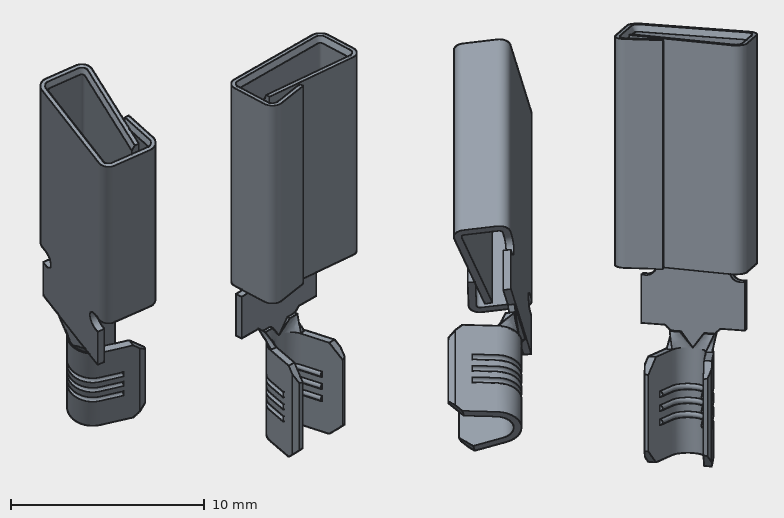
import cadquery as cq
import math

total_length = 22.6
sheet = 0.4

box_width = 6.96
box_bottom = 10.4
box_bend = 0.59
long_flap_height = 3.03
long_flap_end = 2.83
long_flap_tilt = 5.3
short_flap_height = 3.41
short_flap_end = 0.85
short_flap_tilt = 9.4
lead_in_depth = 0.17
lead_in_length = 0.35

tab_width = 5.56
tab_bottom = 6.74
notch_radius = 0.55
notch_center_x = 2.53

barrel_top = 5.63
barrel_radius = 1.33
wing_height = 3.55
wing_tilt = math.radians(13.4)
wing_corner = 0.8
bevel_depth = 0.18
bevel_length = 0.36

groove_count = 3
groove_middle = 2.8
groove_pitch = 0.75
groove_radius = 0.17
ridge_radius = 0.15
groove_height = 2.25

neck_inset = 0.07
neck_width = 2.98
neck_shoulder_width = 2.4
neck_shoulder_z = 6.47
neck_shoulder_back = 0.59
neck_tip_width = 0.27
neck_root_width = 0.57

half_box = box_width / 2
long_flap_drop = (half_box + long_flap_end) * math.tan(math.radians(long_flap_tilt))
short_flap_drop = (half_box - short_flap_end) * math.tan(math.radians(short_flap_tilt))

box_path = [
    (long_flap_end, long_flap_height - long_flap_drop),
    (-half_box, long_flap_height),
    (-half_box, 0),
    (half_box, 0),
    (half_box, short_flap_height),
    (short_flap_end, short_flap_height - short_flap_drop),
]


def unit(start, end):
    length = math.dist(start, end)
    return cq.Vector((end[0] - start[0]) / length, (end[1] - start[1]) / length)


def left_of(direction):
    return cq.Vector(-direction.y, direction.x)


def bend_arc(before, corner, after, depth):
    """Start, middle and end of one bend, measured at a depth into the sheet."""
    way_in = unit(before, corner)
    way_out = unit(corner, after)
    half_turn = way_in.getAngle(way_out) / 2
    bisector = (way_out - way_in).normalized()
    center = cq.Vector(*corner) + bisector * (box_bend / math.cos(half_turn))
    radius = box_bend - depth
    return (
        center - left_of(way_in) * radius,
        center - bisector * radius,
        center - left_of(way_out) * radius,
    )


def folded_sheet(plane, thickness):
    """Closed outline of the folded box sheet."""
    first = cq.Vector(*box_path[0])
    last = cq.Vector(*box_path[-1])
    first_inward = left_of(unit(box_path[0], box_path[1]))
    last_inward = left_of(unit(box_path[-2], box_path[-1]))
    corners = list(zip(box_path, box_path[1:], box_path[2:]))

    outline = plane.moveTo(first.x, first.y)
    for corner in corners:
        start, middle, end = bend_arc(*corner, 0)
        outline = outline.lineTo(start.x, start.y)
        outline = outline.threePointArc(middle.toTuple()[:2], end.toTuple()[:2])
    outline = outline.lineTo(last.x, last.y)
    last_inner = last + last_inward * thickness
    outline = outline.lineTo(last_inner.x, last_inner.y)
    for corner in reversed(corners):
        start, middle, end = bend_arc(*corner, thickness)
        outline = outline.lineTo(end.x, end.y)
        outline = outline.threePointArc(middle.toTuple()[:2], start.toTuple()[:2])
    first_inner = first + first_inward * thickness
    return outline.lineTo(first_inner.x, first_inner.y).close()


def make_box():
    lead_in_start = total_length - lead_in_length
    body_plane = cq.Workplane("XY", origin=(0, 0, box_bottom))
    body = folded_sheet(body_plane, sheet).extrude(lead_in_start - box_bottom)
    mouth = folded_sheet(cq.Workplane("XY", origin=(0, 0, lead_in_start)), sheet)
    mouth = folded_sheet(mouth.workplane(offset=lead_in_length), sheet - lead_in_depth)
    return body.union(mouth.loft(ruled=True))


def front_plane(depth):
    """XZ workplane at a given Y; extrude by a negative length to go toward +Y."""
    return cq.Workplane("XZ", origin=(0, depth, 0))


def make_tab():
    tab = front_plane(0).moveTo(0, (tab_bottom + box_bottom) / 2)
    tab = tab.rect(tab_width, box_bottom - tab_bottom).extrude(-sheet)
    notch_z = box_bottom - notch_radius
    for side in (-1, 1):
        rounded_end = front_plane(0).moveTo(side * notch_center_x, notch_z).circle(notch_radius)
        open_side = front_plane(0).moveTo(side * (notch_center_x + tab_width / 2), notch_z)
        open_side = open_side.rect(tab_width, 2 * notch_radius)
        tab = tab.cut(rounded_end.extrude(-sheet)).cut(open_side.extrude(-sheet))
    return tab


def wing_point(side, along, depth):
    """Point on a wing: distance up from the rounded bottom, depth in from the outer face."""
    radius = barrel_radius - depth
    x = radius * math.cos(wing_tilt) + along * math.sin(wing_tilt)
    y = barrel_radius - radius * math.sin(wing_tilt) + along * math.cos(wing_tilt)
    return (side * x, y)


def along_at_height(height, depth):
    """Distance up a wing at which its face, at a given depth, reaches a given Y."""
    return (height - wing_point(1, 0, depth)[1]) / math.cos(wing_tilt)


def bottom_arc_middle(depth):
    """Point halfway along the right half of the rounded bottom."""
    half_sweep = (math.pi / 2 - wing_tilt) / 2
    radius = barrel_radius - depth
    return (radius * math.sin(half_sweep), barrel_radius - radius * math.cos(half_sweep))


def half_bottom(plane, depth, thickness):
    """Right half of the rounded bottom as a curved strip."""
    inner = depth + thickness
    return (
        plane.moveTo(0, depth)
        .threePointArc(bottom_arc_middle(depth), wing_point(1, 0, depth))
        .lineTo(*wing_point(1, 0, inner))
        .threePointArc(bottom_arc_middle(inner), (0, inner))
        .close()
    )


def make_barrel():
    wing_length = along_at_height(wing_height, sheet)
    bottom = half_bottom(cq.Workplane("XY"), 0, sheet).extrude(barrel_top)
    wing = cq.Workplane("XY").polyline([
        wing_point(1, 0, 0),
        wing_point(1, wing_length - bevel_length, 0),
        wing_point(1, wing_length, bevel_depth),
        wing_point(1, wing_length, sheet),
        wing_point(1, 0, sheet),
    ]).close().extrude(barrel_top)
    half = bottom.union(wing)
    barrel = half.union(half.mirror("YZ"))

    for z, inward in ((0, 1), (barrel_top, -1)):
        corner = cq.Workplane("YZ").polyline([
            (wing_height, z),
            (wing_height - wing_corner, z),
            (wing_height, z + inward * wing_corner),
        ]).close().extrude(box_width, both=True)
        barrel = barrel.cut(corner)
    return barrel


def grip_rod(z, depth, radius):
    """Round bar following the barrel from wing to wing at a depth into the sheet."""
    along = along_at_height(groove_height, 0)
    start = wing_point(-1, along, depth)
    left_bottom = wing_point(-1, 0, depth)
    path = (
        cq.Workplane("XY", origin=(0, 0, z))
        .moveTo(*start)
        .lineTo(*left_bottom)
        .threePointArc((0, depth), wing_point(1, 0, depth))
        .lineTo(*wing_point(1, along, depth))
    )
    end_plane = cq.Plane((*start, z), xDir=(0, 0, 1), normal=unit(start, left_bottom))
    return cq.Workplane(end_plane).circle(radius).sweep(path)


def add_grips(barrel):
    for index in range(groove_count):
        z = groove_middle + (index - (groove_count - 1) / 2) * groove_pitch
        barrel = barrel.cut(grip_rod(z, 0, groove_radius))
        barrel = barrel.union(grip_rod(z, sheet, ridge_radius))
    return barrel


def make_neck():
    thickness = sheet - neck_inset
    shoulder_x = neck_shoulder_width / 2
    half_plate = front_plane(neck_inset).polyline([
        (0, barrel_top),
        (neck_tip_width / 2, barrel_top),
        (shoulder_x, neck_shoulder_z),
        (neck_width / 2, tab_bottom),
        (0, tab_bottom),
    ]).close().extrude(-thickness)

    side = half_bottom(cq.Workplane("XY", origin=(0, 0, barrel_top)), neck_inset, thickness)
    side = side.workplane(offset=neck_shoulder_z - barrel_top).polyline([
        (shoulder_x - neck_root_width, neck_inset),
        (shoulder_x, neck_inset),
        (shoulder_x, neck_shoulder_back),
        (shoulder_x - neck_root_width, neck_shoulder_back),
    ]).close().loft(ruled=True)
    half = half_plate.union(side)
    return half.union(half.mirror("YZ"))


result = make_box().union(make_tab()).union(make_neck()).union(add_grips(make_barrel()))